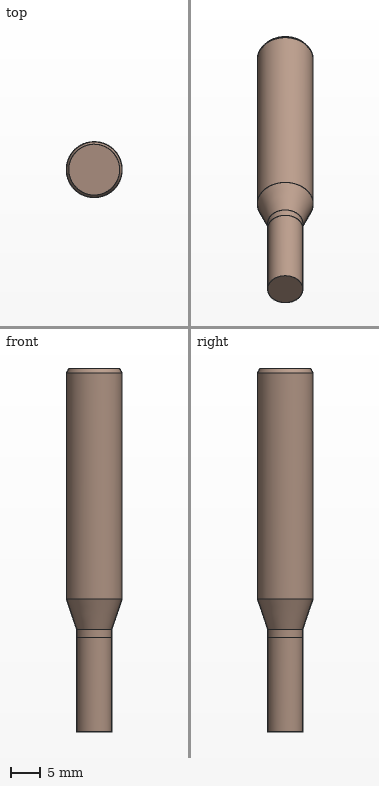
import cadquery as cq

total_length = 61.9
shank_diameter = 9.55
cutter_diameter = 6.0

cutter_length = 16.05
neck_top = 17.45
taper_top = 22.65

chamfer_height = 0.8
chamfer_width = 0.45

shank_radius = shank_diameter / 2
cutter_radius = cutter_diameter / 2


def make_cutter():
    """Plain cylindrical cutting section, standing on the XY plane."""
    return cq.Workplane("XY").circle(cutter_radius).extrude(cutter_length)


def make_shank():
    """Revolved holder: short neck, taper, long shank and chamfered end."""
    profile = [
        (0, cutter_length),
        (cutter_radius, cutter_length),
        (cutter_radius, neck_top),
        (shank_radius, taper_top),
        (shank_radius, total_length - chamfer_height),
        (shank_radius - chamfer_width, total_length),
        (0, total_length),
    ]
    return cq.Workplane("XZ").polyline(profile).close().revolve(360, (0, 0), (0, 1))


cutter = make_cutter()
shank = make_shank()

result = cq.Compound.makeCompound([cutter.val(), shank.val()])